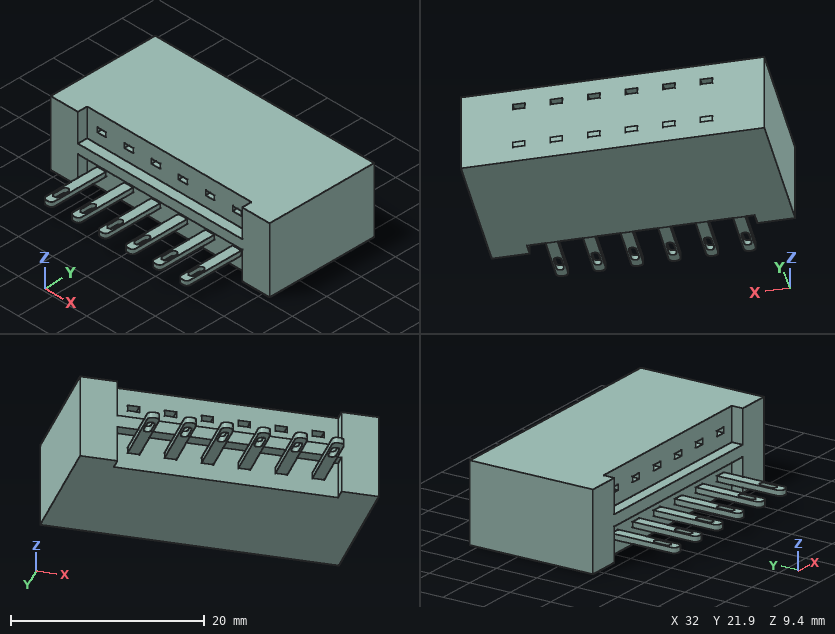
import cadquery as cq

housing_width = 32.03
housing_depth = 15.25
housing_height = 9.4

recess_width = 24.02
recess_depth = 1.35
rib_thickness = 1.35
recess_height = (housing_height - rib_thickness) / 2

contact_count = 6
row_span = 19.8
contact_pitch = row_span / (contact_count - 1)
row_offset = 2.5
contact_x = [i * contact_pitch - row_span / 2 for i in range(contact_count)]

pin_width = 1.28
pin_thickness = 0.65
pin_length = 21.85
pin_overhang = pin_length - housing_depth
tip_radius = 0.5

eyelet_width = 0.8
eyelet_length = 2.05
eyelet_to_tip = 1.02
eyelet_center_y = eyelet_to_tip + eyelet_length / 2 - pin_overhang


def make_recess(side):
    """Block removed from the contact face; side is +1 for upper and -1 for lower."""
    center_z = side * (rib_thickness + recess_height) / 2
    return (
        cq.Workplane("XY")
        .box(recess_width, recess_depth, recess_height)
        .translate((0, recess_depth / 2, center_z))
    )


def make_slot_row(side):
    """Row of rectangular contact slots running through the full housing depth."""
    center_z = side * row_offset
    return (
        cq.Workplane("XY")
        .pushPoints([(x, housing_depth / 2) for x in contact_x])
        .box(pin_width, housing_depth, pin_thickness)
        .translate((0, 0, center_z))
    )


def make_housing():
    """Block with a recess and a row of through slots above and below the rib."""
    body = (
        cq.Workplane("XY")
        .box(housing_width, housing_depth, housing_height)
        .translate((0, housing_depth / 2, 0))
    )
    for side in (1, -1):
        body = body.cut(make_recess(side))
        body = body.cut(make_slot_row(side))
    return body


def make_pin(x):
    """Flat pin from the back of the housing to a rounded tip with an eyelet."""
    blade = (
        cq.Workplane("XY")
        .box(pin_width, pin_length, pin_thickness)
        .translate((0, pin_length / 2 - pin_overhang, 0))
        .edges("|Z and <Y")
        .fillet(tip_radius)
    )
    eyelet = (
        cq.Workplane("XY")
        .center(0, eyelet_center_y)
        .slot2D(eyelet_length, eyelet_width, 90)
        .extrude(pin_thickness, both=True)
    )
    return blade.cut(eyelet).translate((x, 0, -row_offset))


housing = make_housing()
pins = [make_pin(x) for x in contact_x]

result = cq.Compound.makeCompound([housing.val(), *[pin.val() for pin in pins]])